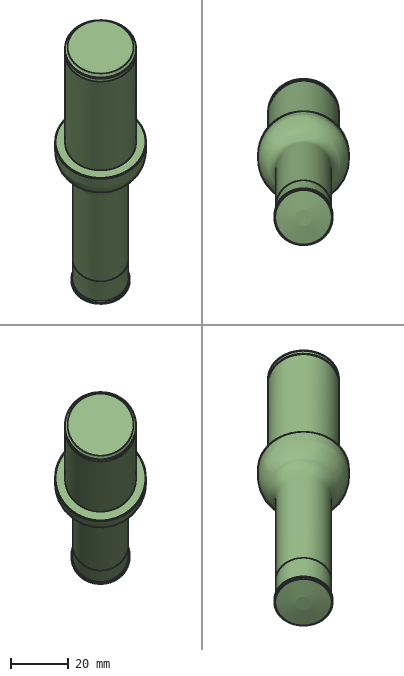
import cadquery as cq
import math

length = 139.0

shank_radius = 25.0 / 2
top_chamfer = 1.0
groove_top = length - 1.4
groove_root = length - 2.4
groove_bottom = length - 3.5
groove_depth = 0.4

collar_radius = 32.0 / 2
collar_top = 83.1
collar_chamfer = 0.3
collar_bottom = 78.1
neck_inflection_z = 70.6
neck_inflection_radius = 12.8
neck_bottom = 64.4

stem_radius = 19.6 / 2
head_top = 14.0
flare_top = 6.3
flare_bottom = 2.5
flare_growth = 0.07
rim_radius = 20.6 / 2
rim_top = 2.0
rim_bottom = 1.3
rim_chamfer = 0.4
tip_radius = 2.9


def tangent_arc_mid(vertical_z, vertical_radius, end_z, end_radius):
    """Midpoint of the arc that starts vertical and reaches the end point."""
    radial = end_radius - vertical_radius
    axial = end_z - vertical_z
    arc_radius = (radial**2 + axial**2) / (2 * abs(radial))
    half_sweep = math.asin(abs(axial) / arc_radius) / 2
    mid_radius = vertical_radius + math.copysign(arc_radius * (1 - math.cos(half_sweep)), radial)
    mid_z = vertical_z + math.copysign(arc_radius * math.sin(half_sweep), axial)
    return mid_radius, mid_z


def make_holder():
    """Shank, collar, neck and stem, turned about Z."""
    inflection = (neck_inflection_radius, neck_inflection_z)
    bowl_mid = tangent_arc_mid(collar_bottom, collar_radius, neck_inflection_z, neck_inflection_radius)
    fillet_mid = tangent_arc_mid(neck_bottom, stem_radius, neck_inflection_z, neck_inflection_radius)
    return (
        cq.Workplane("XZ")
        .moveTo(0, head_top)
        .lineTo(stem_radius, head_top)
        .lineTo(stem_radius, neck_bottom)
        .threePointArc(fillet_mid, inflection)
        .threePointArc(bowl_mid, (collar_radius, collar_bottom))
        .lineTo(collar_radius, collar_top - collar_chamfer)
        .lineTo(collar_radius - collar_chamfer, collar_top)
        .lineTo(shank_radius, collar_top)
        .lineTo(shank_radius, groove_bottom)
        .lineTo(shank_radius - groove_depth, groove_root)
        .lineTo(shank_radius, groove_top)
        .lineTo(shank_radius, length - top_chamfer)
        .lineTo(shank_radius - top_chamfer, length)
        .lineTo(0, length)
        .close()
        .revolve(360, (0, 0, 0), (0, 1, 0))
    )


def make_head():
    """Cutting head with a slight flare, a raised rim and a shallow conical tip with a small flat end."""
    return (
        cq.Workplane("XZ")
        .moveTo(0, 0)
        .lineTo(tip_radius, 0)
        .lineTo(rim_radius - rim_chamfer, rim_bottom - rim_chamfer)
        .lineTo(rim_radius, rim_bottom)
        .lineTo(rim_radius, rim_top)
        .lineTo(stem_radius + flare_growth, flare_bottom)
        .lineTo(stem_radius, flare_top)
        .lineTo(stem_radius, head_top)
        .lineTo(0, head_top)
        .close()
        .revolve(360, (0, 0, 0), (0, 1, 0))
    )


holder = make_holder()
head = make_head()

result = cq.Compound.makeCompound([holder.val(), head.val()])